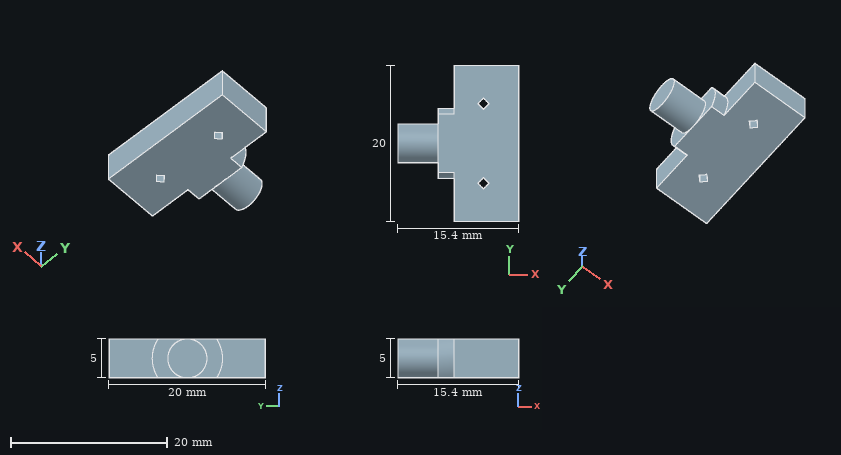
import cadquery as cq

overall_length_x = 15.45
body_width_y = 20.0
thickness = 5.0
body_length_x = 8.25
collar_length = 2.05
collar_diameter = 9.0
pin_diameter = thickness
hole_diagonal = 1.4
hole_spacing = 10.2
hole_setback = 3.75

pin_length = overall_length_x - body_length_x - collar_length


def make_body():
    """Rectangular block whose collar side lies on the plane X = 0."""
    return cq.Workplane("XY").box(
        body_length_x, body_width_y, thickness, centered=(False, True, True)
    )


def make_collar():
    """Disc on the X axis, trimmed flat to the block thickness."""
    disc = cq.Workplane("YZ").circle(collar_diameter / 2).extrude(-collar_length)
    slab = cq.Workplane("XY").box(2 * collar_length, collar_diameter, thickness)
    return disc.intersect(slab)


def make_pin():
    """Round pin projecting from the collar towards -X."""
    return (
        cq.Workplane("YZ", origin=(-collar_length, 0, 0))
        .circle(pin_diameter / 2)
        .extrude(-pin_length)
    )


def make_holes():
    """Two diamond-shaped cutters through the block along Z."""
    return (
        cq.Workplane("XY")
        .pushPoints([(hole_setback, side * hole_spacing / 2) for side in (-1, 1)])
        .polygon(4, hole_diagonal)
        .extrude(thickness, both=True)
    )


result = make_body().union(make_collar()).union(make_pin()).cut(make_holes())